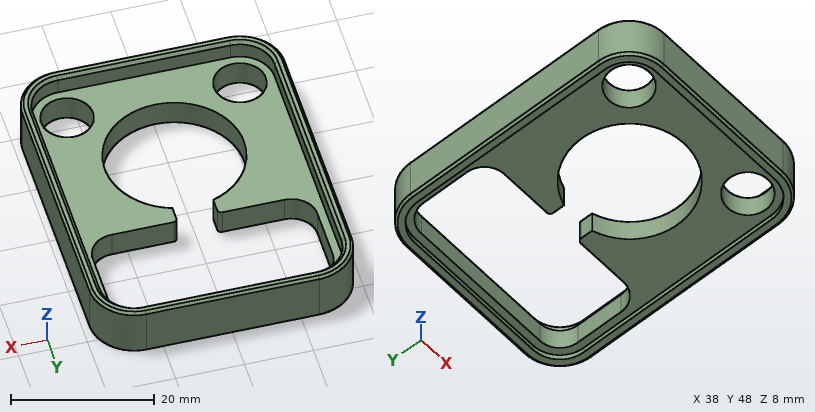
import cadquery as cq

width = 38.0
length = 48.0
height = 8.0
corner_radius = 6.5
edge_chamfer = 0.4

wall = 1.5
rim_chamfer = 0.5
top_recess_depth = 3.0
bottom_recess_depth = 1.0

hole_diameter = 7.5
hole_x = width / 2 - corner_radius
hole_y = -length / 2 + corner_radius

window_radius = hole_diameter / 2
window_inset = corner_radius - window_radius
window_width = width - 2 * window_inset
window_top = length / 2 - window_inset
window_length = 15.55
window_bottom = window_top - window_length

opening_radius = 10.1
opening_y = -6.6
slot_width = 5.9
slot_corner_radius = 0.6


def rounded_block(size_x, size_y, size_z, radius, base_z):
    """Upright block with rounded vertical edges, centred in X and Y."""
    block = cq.Workplane("XY").workplane(offset=base_z).rect(size_x, size_y).extrude(size_z)
    return block.edges("|Z").fillet(radius)


def make_recess(depth, base_z):
    """Recess cutter that leaves the rim wall standing all round."""
    return rounded_block(width - 2 * wall, length - 2 * wall, depth, corner_radius - wall, base_z)


def make_body():
    """Chamfered outer block, recessed on top and underneath."""
    body = rounded_block(width, length, height, corner_radius, 0)
    body = body.faces("<Z or >Z").chamfer(edge_chamfer)
    body = body.cut(make_recess(top_recess_depth, height - top_recess_depth))
    body = body.faces(">Z").wires(cq.selectors.LengthNthSelector(0)).chamfer(rim_chamfer)
    return body.cut(make_recess(bottom_recess_depth, 0))


def make_window():
    window = rounded_block(window_width, window_length, height, window_radius, 0)
    return window.translate((0, (window_top + window_bottom) / 2, 0))


def make_opening():
    return cq.Workplane("XY").center(0, opening_y).circle(opening_radius).extrude(height)


def make_slot():
    """Slot from the round opening to the window, with a mouth that flares in quarter rounds."""
    half = slot_width / 2
    mouth_half = half + slot_corner_radius
    round_start = window_bottom - slot_corner_radius
    right = (
        cq.Workplane("XY")
        .moveTo(0, opening_y)
        .lineTo(half, opening_y)
        .lineTo(half, round_start)
        .tangentArcPoint((mouth_half, window_bottom), relative=False)
        .lineTo(0, window_bottom)
        .close()
        .extrude(height)
    )
    return right.union(right.mirror("YZ"))


def make_corner_holes():
    holes = cq.Workplane("XY").pushPoints([(-hole_x, hole_y), (hole_x, hole_y)])
    return holes.circle(hole_diameter / 2).extrude(height)


result = make_body()
for cutter in (make_window(), make_opening(), make_slot(), make_corner_holes()):
    result = result.cut(cutter)